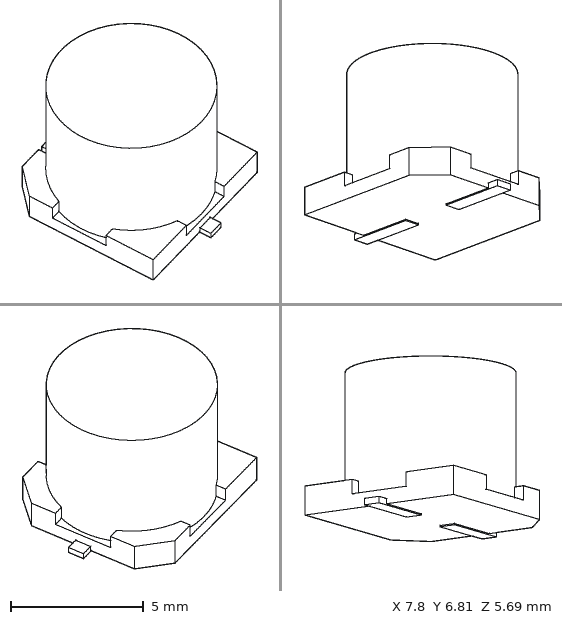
import cadquery as cq

lead_span = 7.8
base_side = 6.81
total_height = 5.69
can_diameter = 6.46

standoff = 0.05
base_top = 1.17
seat_height = 0.62
corner_chamfer = 1.1
notch_width = 2.465

lead_width = 0.67
lead_thickness = 0.25
lead_gap = 2.2
lead_length = (lead_span - lead_gap) / 2


def make_lead(side):
    """Flat strip along X; side is -1 for the -X lead and +1 for the +X lead."""
    center_x = side * (lead_gap + lead_length) / 2
    return (
        cq.Workplane("XY")
        .center(center_x, 0)
        .rect(lead_length, lead_width)
        .extrude(lead_thickness)
    )


def make_can():
    """Plain cylinder standing on the base floor."""
    return (
        cq.Workplane("XY")
        .workplane(offset=seat_height)
        .circle(can_diameter / 2)
        .extrude(total_height - seat_height)
    )


def make_base(can, leads):
    """Square base with two chamfered -X corners, four corner posts and a seat for the can."""
    base = (
        cq.Workplane("XY")
        .workplane(offset=standoff)
        .rect(base_side, base_side)
        .extrude(base_top - standoff)
        .edges("|Z and <X")
        .chamfer(corner_chamfer)
    )

    notches = cq.Workplane("XY").workplane(offset=seat_height)
    for size_x, size_y in ((base_side, notch_width), (notch_width, base_side)):
        base = base.cut(notches.rect(size_x, size_y).extrude(base_top - seat_height))

    base = base.cut(can)
    for lead in leads:
        base = base.cut(lead)
    return base


can = make_can()
leads = [make_lead(side) for side in (-1, 1)]
base = make_base(can, leads)

result = cq.Compound.makeCompound([base.val(), can.val(), *[lead.val() for lead in leads]])